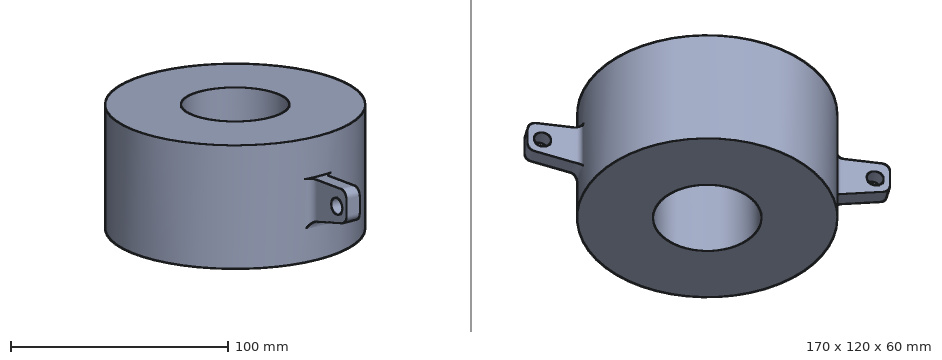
import cadquery as cq

ring_diameter = 120.0
ring_radius = ring_diameter / 2
bore_diameter = 50.0
ring_height = 60.0

lug_span = 170.0
lug_tip = lug_span / 2
lug_thickness = 8.0
lug_top = 40.5
lug_tip_bottom = 24.6
lug_root_bottom = 19.4
lug_corner_radius = 4.0
lug_root_fillet = 4.0
lug_embed = 8.5
selection_margin = 0.8

eye_diameter = 8.0
eye_from_tip = 7.0
eye_height = 31.3


def make_lug(side):
    """Lug on the +X (side = 1) or -X (side = -1) flank of the ring."""
    root = ring_radius - lug_embed
    slope = (lug_tip_bottom - lug_root_bottom) / (lug_tip - ring_radius)
    embedded_bottom = lug_root_bottom - slope * lug_embed
    outline = [
        (side * root, lug_top),
        (side * lug_tip, lug_top),
        (side * lug_tip, lug_tip_bottom),
        (side * root, embedded_bottom),
    ]
    lug = cq.Workplane("XZ").polyline(outline).close().extrude(lug_thickness / 2, both=True)
    tip_face = ">X" if side > 0 else "<X"
    return lug.faces(tip_face).edges("|Y").fillet(lug_corner_radius)


def root_edges(body, side):
    """Edges where a lug's two flanks and underside meet the ring."""
    inner = ring_radius - selection_margin
    outer = ring_radius + selection_margin
    half_width = lug_thickness / 2 + selection_margin
    x_low, x_high = sorted((side * inner, side * outer))
    selector = cq.selectors.BoxSelector(
        (x_low, -half_width, lug_root_bottom - selection_margin),
        (x_high, half_width, lug_top - selection_margin),
    )
    return body.edges(selector)


body = cq.Workplane("XY").circle(ring_radius).extrude(ring_height)
for side in (-1, 1):
    body = body.union(make_lug(side))
for side in (-1, 1):
    body = root_edges(body, side).fillet(lug_root_fillet)

bore = cq.Workplane("XY").circle(bore_diameter / 2).extrude(ring_height)
eye_x = lug_tip - eye_from_tip
eyes = (
    cq.Workplane("XZ")
    .pushPoints([(-eye_x, eye_height), (eye_x, eye_height)])
    .circle(eye_diameter / 2)
    .extrude(lug_thickness, both=True)
)

result = body.cut(bore).cut(eyes)